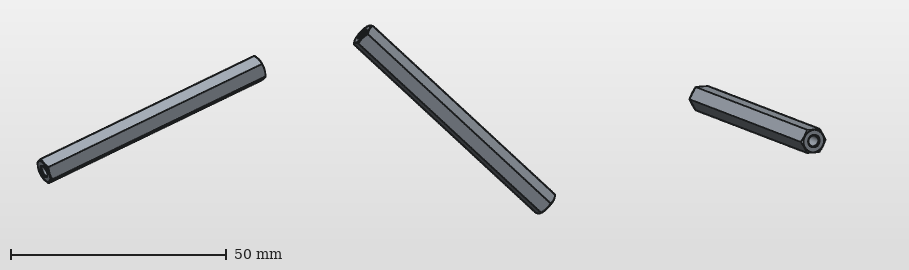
import cadquery as cq
import math

LENGTH = 60.0
ACROSS_FLATS = 5.5
ACROSS_CORNERS = ACROSS_FLATS / math.cos(math.radians(30))

END_FACE_DIAMETER = 5.25
END_CHAMFER_ANGLE = 30.0

HOLE_DIAMETER = 2.5
HOLE_DEPTH = 10.0
LEAD_IN_DIAMETER = 3.0
DRILL_POINT_ANGLE = 118.0


def revolve_about_y(profile):
    """Revolve a closed (radius, y) outline a full turn about the Y axis."""
    return cq.Workplane("XY").polyline(profile).close().revolve(360, (0, 0, 0), (0, 1, 0))


def hex_bar():
    """Hexagonal bar with flats at +Z and -Z and corners at +X and -X."""
    return cq.Workplane("XZ").polygon(6, ACROSS_CORNERS).extrude(LENGTH / 2, both=True)


def chamfer_envelope():
    """Round body with coned ends; its overlap with the bar gives the corner chamfers."""
    half_length = LENGTH / 2
    face_radius = END_FACE_DIAMETER / 2
    outer_radius = ACROSS_CORNERS
    cone_length = (outer_radius - face_radius) * math.tan(math.radians(END_CHAMFER_ANGLE))
    return revolve_about_y([
        (0, -half_length),
        (face_radius, -half_length),
        (outer_radius, -half_length + cone_length),
        (outer_radius, half_length - cone_length),
        (face_radius, half_length),
        (0, half_length),
    ])


def end_hole():
    """Cutter for the hole in the -Y end."""
    mouth = -LENGTH / 2
    bottom = mouth + HOLE_DEPTH
    hole_radius = HOLE_DIAMETER / 2
    lead_in_radius = LEAD_IN_DIAMETER / 2
    lead_in_depth = lead_in_radius - hole_radius
    point_length = hole_radius / math.tan(math.radians(DRILL_POINT_ANGLE / 2))
    return revolve_about_y([
        (0, mouth),
        (lead_in_radius, mouth),
        (hole_radius, mouth + lead_in_depth),
        (hole_radius, bottom),
        (0, bottom + point_length),
    ])


near_hole = end_hole()
far_hole = near_hole.mirror("XZ")
result = hex_bar().intersect(chamfer_envelope()).cut(near_hole).cut(far_hole)